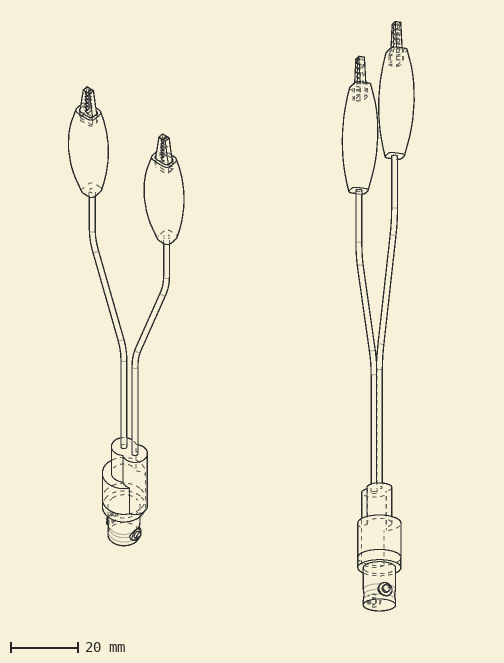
import cadquery as cq
import math


barrel_radius = 9.5 / 2
flange_radius = 12.8 / 2
flange_bottom = 12.0
flange_top = 15.2
groove_bottom = 1.6
groove_top = 4.9
groove_depth = 0.22
lug_span = 11.5
lug_diameter = 2.2
lug_height = (groove_bottom + groove_top) / 2
collar_diameter = 4.2
collar_span = 10.0

lobe_radius = 7.5 / 2
shoulder_height = 26.2
housing_top = 37.6

wire_radius = 1.8 / 2
wire_pitch = 4.3
spread_pitch = 29.1
middle_x = wire_pitch / 2
lower_knee = 79.0
upper_knee = 118.0
bend_radius = 26.2

clip_pitch = 29.7
first_clip_x = -14.0
boot_bottom = 139.0
boot_top = 171.9
tip_top = 181
boot_sections = [
    (boot_bottom, 1.3, 4.9, 5.2),
    (156.0, 0, 10.9, 9.0),
    (boot_top, 0, 7.0, 5.2),
]
boot_squareness = 4
boot_points = 24
boot_wall = 0.9
socket_depth = 3.6
socket_floor = boot_top - socket_depth
jaw_root_width = 4.9
jaw_tip_width = 2.5
jaw_thickness = 1.8
tooth_count = 6
tooth_pitch = (tip_top - boot_top) / tooth_count
tooth_depth = 0.9
jaw_gap = 0.09


def cylinder(radius, bottom, top, x=0):
    return cq.Workplane("XY", origin=(x, 0, bottom)).circle(radius).extrude(top - bottom)


def cross_pin(diameter, span):
    """A pin along X, centred on the connector axis at the height of the groove's deepest edge."""
    plane = cq.Workplane("YZ", origin=(-span / 2, 0, lug_height)).transformed(rotate=(0, 0, 90))
    return plane.circle(diameter / 2).extrude(span)


def make_connector():
    """A flanged barrel with a shallow V groove and a collared lug on each side."""
    profile = [
        (0, 0),
        (barrel_radius, 0),
        (barrel_radius, groove_bottom),
        (barrel_radius - groove_depth, lug_height),
        (barrel_radius, groove_top),
        (barrel_radius, flange_bottom),
        (flange_radius, flange_bottom),
        (flange_radius, flange_top),
        (0, flange_top),
    ]
    body = cq.Workplane("YZ").polyline(profile).close().revolve(360, (0, 0), (0, 1))
    return body.union(cross_pin(collar_diameter, collar_span)).union(cross_pin(lug_diameter, lug_span))


def make_housing():
    """A grip of two joined cylinders, one around each wire, with a wider shoulder around the first."""
    grip = cylinder(lobe_radius, flange_top, housing_top)
    grip = grip.union(cylinder(lobe_radius, flange_top, housing_top, wire_pitch))
    return grip.union(cylinder(flange_radius, flange_top, shoulder_height))


def make_wire(side):
    """One wire that leaves the housing straight, swings outward and straightens again."""
    lower_x = middle_x + side * wire_pitch / 2
    upper_x = middle_x + side * spread_pitch / 2
    slant = math.atan2(upper_x - lower_x, upper_knee - lower_knee)
    tangent = bend_radius * math.tan(abs(slant) / 2)
    inset = bend_radius * (1 / math.cos(slant / 2) - 1)
    along = (tangent * math.sin(slant), tangent * math.cos(slant))
    inward = (inset * math.cos(slant / 2) * side, -inset * math.sin(abs(slant) / 2))
    path = (
        cq.Workplane("XZ")
        .moveTo(lower_x, housing_top)
        .lineTo(lower_x, lower_knee - tangent)
        .threePointArc(
            (lower_x + inward[0], lower_knee + inward[1]),
            (lower_x + along[0], lower_knee + along[1]),
        )
        .lineTo(upper_x - along[0], upper_knee - along[1])
        .threePointArc(
            (upper_x - inward[0], upper_knee - inward[1]),
            (upper_x, upper_knee + tangent),
        )
        .lineTo(upper_x, boot_bottom)
    )
    return cq.Workplane("XY", origin=(lower_x, 0, housing_top)).circle(wire_radius).sweep(path)


def boot_section(height, shift, width, depth):
    """A closed superellipse: a rectangle whose sides bulge and whose corners are rounded."""
    power = 2 / boot_squareness
    points = []
    for i in range(boot_points):
        angle = 2 * math.pi * i / boot_points
        across = math.cos(angle)
        along = math.sin(angle)
        x = shift + math.copysign(abs(across) ** power, across) * width / 2
        y = math.copysign(abs(along) ** power, along) * depth / 2
        points.append(cq.Vector(x, y, height))
    return cq.Wire.assembleEdges([cq.Edge.makeSpline(points, periodic=True)])


def make_jaws():
    """A tapered blade, split from its tip by a zigzag gap into two toothed jaws."""
    blade = (
        cq.Workplane("XZ")
        .polyline([
            (-jaw_root_width / 2, socket_floor),
            (-jaw_root_width / 2, boot_top),
            (-jaw_tip_width / 2, tip_top),
            (jaw_tip_width / 2, tip_top),
            (jaw_root_width / 2, boot_top),
            (jaw_root_width / 2, socket_floor),
        ])
        .close()
        .extrude(jaw_thickness / 2, both=True)
    )
    zigzag = [
        ((-1) ** i * tooth_depth / 2, boot_top + i * tooth_pitch / 2)
        for i in range(2 * tooth_count + 1)
    ]
    left_side = [(x - jaw_gap / 2, z) for x, z in zigzag]
    right_side = [(x + jaw_gap / 2, z) for x, z in reversed(zigzag)]
    gap = cq.Workplane("XZ").polyline(left_side + right_side).close().extrude(jaw_thickness, both=True)
    return blade.cut(gap)


def make_clip():
    """A boot with a socket in its top, and the jaws that rise from the floor of the socket."""
    body = cq.Workplane(cq.Solid.makeLoft([boot_section(*section) for section in boot_sections]))
    mouth_width, mouth_depth = boot_sections[-1][2:]
    rim = boot_section(boot_top, 0, mouth_width - 2 * boot_wall, mouth_depth - 2 * boot_wall)
    socket = cq.Workplane(cq.Solid.extrudeLinear(rim, [], cq.Vector(0, 0, -socket_depth)))
    return body.cut(socket).union(make_jaws())


connector = make_connector()
housing = make_housing()
wires = [make_wire(side) for side in (-1, 1)]
clips = [make_clip().translate((first_clip_x + i * clip_pitch, 0, 0)) for i in range(2)]
result = cq.Compound.makeCompound([
    connector.solids().val(),
    housing.solids().val(),
    *[wire.solids().val() for wire in wires],
    *[clip.solids().val() for clip in clips],
])